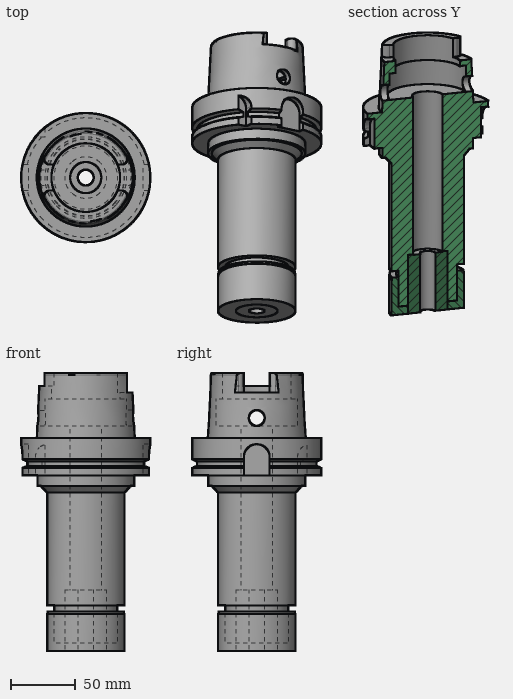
import cadquery as cq
import math

TOTAL_LENGTH = 215.0

SHANK_LENGTH = 50.0
SHANK_BASE_DIAMETER = 76.0
SHANK_TOP_DIAMETER = 71.0
SHANK_RIM_FILLET = 1.5
BOTTOM_Z = SHANK_LENGTH - TOTAL_LENGTH

DRIVE_SLOT_WIDTH = 20.0
DRIVE_SLOT_CORNER_RADIUS = 4.3
DRIVE_SLOT_CORNER_X = 32.0
LEFT_SLOT_DEPTH = 9.9
RIGHT_SLOT_DEPTH = 15.0

BORE_DIAMETER = 53.0
BORE_DEPTH = 20.0
UNDERCUT_DIAMETER = 63.0
CAVITY_DEPTH = 40.8
CROSS_HOLE_DIAMETER = 12.0
CROSS_HOLE_Z = 15.3

FLANGE_DIAMETER = 100.0
FLANGE_THICKNESS = 29.0
GROOVE_DEPTH = 3.7
GROOVE_CENTRE_Z = -20.0
GROOVE_ROOT_WIDTH = 3.5
GROOVE_MOUTH_WIDTH = 6.9

KEYWAY_WIDTH = 20.0
KEYWAY_TOP_Z = -5.0
KEYWAY_FLOOR_X = 44.0
NOTCH_FLOOR_X = 31.5
NOTCH_CENTRE_Y = 41.5

COLLAR_DIAMETER = 75.0
COLLAR_LENGTH = 8.2
CONE_TOP_DIAMETER = 69.7
CONE_LENGTH = 5.2
BARREL_DIAMETER = 60.0
BARREL_END_Z = -129.5
NECK_DIAMETER = 49.0

NUT_LENGTH = 30.7
NUT_RIM_HEIGHT = 2.0
NUT_RIM_INSET = 0.5
NUT_END_WALL = 6.5
NUT_RIM_DIAMETER = BARREL_DIAMETER - 2 * NUT_RIM_INSET
NECK_END_Z = BOTTOM_Z + NUT_END_WALL

PASSAGE_DIAMETER = 24.0
COLLET_DIAMETER = 32.2
COLLET_LENGTH = 47.3
COLLET_BORE_DIAMETER = 12.0
COLLET_TOP_Z = BOTTOM_Z + COLLET_LENGTH


def cylinder(diameter, bottom_z, top_z):
    """Upright cylinder on the Z axis."""
    return cq.Workplane("XY").workplane(offset=bottom_z).circle(diameter / 2).extrude(top_z - bottom_z)


def holder_blank():
    """Solid of revolution: shank, grooved flange, collar, barrel and neck."""
    flange_radius = FLANGE_DIAMETER / 2
    root_radius = flange_radius - GROOVE_DEPTH
    collar_end_z = -FLANGE_THICKNESS - COLLAR_LENGTH
    outline = [
        (0, SHANK_LENGTH),
        (SHANK_TOP_DIAMETER / 2, SHANK_LENGTH),
        (SHANK_BASE_DIAMETER / 2, 0),
        (flange_radius, 0),
        (flange_radius, GROOVE_CENTRE_Z + GROOVE_MOUTH_WIDTH / 2),
        (root_radius, GROOVE_CENTRE_Z + GROOVE_ROOT_WIDTH / 2),
        (root_radius, GROOVE_CENTRE_Z - GROOVE_ROOT_WIDTH / 2),
        (flange_radius, GROOVE_CENTRE_Z - GROOVE_MOUTH_WIDTH / 2),
        (flange_radius, -FLANGE_THICKNESS),
        (COLLAR_DIAMETER / 2, -FLANGE_THICKNESS),
        (COLLAR_DIAMETER / 2, collar_end_z),
        (CONE_TOP_DIAMETER / 2, collar_end_z),
        (BARREL_DIAMETER / 2, collar_end_z - CONE_LENGTH),
        (BARREL_DIAMETER / 2, BARREL_END_Z),
        (NECK_DIAMETER / 2, BARREL_END_Z),
        (NECK_DIAMETER / 2, NECK_END_Z),
        (0, NECK_END_Z),
    ]
    blank = cq.Workplane("XZ").polyline(outline).close().revolve(360, (0, 0, 0), (0, 1, 0))
    return blank.faces(">Z").edges().fillet(SHANK_RIM_FILLET)


def shank_cavity():
    """Stepped hollow of the shank, the passage to the collet and the collet seat."""
    bore = cylinder(BORE_DIAMETER, SHANK_LENGTH - BORE_DEPTH, SHANK_LENGTH)
    undercut = cylinder(UNDERCUT_DIAMETER, SHANK_LENGTH - CAVITY_DEPTH, SHANK_LENGTH - BORE_DEPTH)
    passage = cylinder(PASSAGE_DIAMETER, COLLET_TOP_Z, SHANK_LENGTH - CAVITY_DEPTH)
    seat = cylinder(COLLET_DIAMETER, NECK_END_Z, COLLET_TOP_Z)
    return bore.union(undercut).union(passage).union(seat)


def drive_slot(side, depth):
    """Slot through one side (+1 or -1 in X) of the shank rim, with rounded outer corners."""
    half_width = DRIVE_SLOT_WIDTH / 2
    radius = DRIVE_SLOT_CORNER_RADIUS
    round_start_x = DRIVE_SLOT_CORNER_X - radius
    outer_x = SHANK_BASE_DIAMETER / 2
    arc_rise = radius * (1 - math.sqrt(0.5))
    half_slot = (
        cq.Workplane("XY")
        .workplane(offset=SHANK_LENGTH - depth)
        .lineTo(0, half_width)
        .lineTo(side * round_start_x, half_width)
        .threePointArc(
            (side * (DRIVE_SLOT_CORNER_X - arc_rise), half_width + arc_rise),
            (side * DRIVE_SLOT_CORNER_X, half_width + radius),
        )
        .lineTo(side * DRIVE_SLOT_CORNER_X, outer_x)
        .lineTo(side * outer_x, outer_x)
        .lineTo(side * outer_x, 0)
        .close()
        .extrude(depth)
    )
    return half_slot.union(half_slot.mirror("XZ"))


def cross_hole():
    """Hole through both walls of the shank along X."""
    return (
        cq.Workplane("YZ")
        .center(0, CROSS_HOLE_Z)
        .circle(CROSS_HOLE_DIAMETER / 2)
        .extrude(SHANK_BASE_DIAMETER / 2, both=True)
    )


def keyway(side, floor_x, centre_y):
    """Keyway with a round upper end, open at the bottom and at one side of the flange."""
    radius = KEYWAY_WIDTH / 2
    round_z = KEYWAY_TOP_Z - radius
    return (
        cq.Workplane("YZ")
        .workplane(offset=side * floor_x)
        .moveTo(centre_y - radius, -FLANGE_THICKNESS)
        .lineTo(centre_y - radius, round_z)
        .threePointArc((centre_y, KEYWAY_TOP_Z), (centre_y + radius, round_z))
        .lineTo(centre_y + radius, -FLANGE_THICKNESS)
        .close()
        .extrude(side * (FLANGE_DIAMETER / 2 - floor_x))
    )


def make_holder():
    holder = holder_blank().cut(shank_cavity()).cut(cross_hole())
    holder = holder.cut(drive_slot(-1, LEFT_SLOT_DEPTH)).cut(drive_slot(1, RIGHT_SLOT_DEPTH))
    for side in (-1, 1):
        holder = holder.cut(keyway(side, KEYWAY_FLOOR_X, 0))
    return holder.cut(keyway(-1, NOTCH_FLOOR_X, NOTCH_CENTRE_Y))


def make_nut():
    """Cap around the neck, with a slightly smaller rim on top and an end wall around the collet."""
    top_z = BOTTOM_Z + NUT_LENGTH
    shoulder_z = top_z - NUT_RIM_HEIGHT
    body = cylinder(BARREL_DIAMETER, BOTTOM_Z, shoulder_z)
    rim = cylinder(NUT_RIM_DIAMETER, shoulder_z, top_z)
    neck_hole = cylinder(NECK_DIAMETER, NECK_END_Z, top_z)
    collet_hole = cylinder(COLLET_DIAMETER, BOTTOM_Z, NECK_END_Z)
    return body.union(rim).cut(neck_hole).cut(collet_hole)


def make_collet():
    """Plain sleeve, flush with the lower face of the nut."""
    sleeve = cylinder(COLLET_DIAMETER, BOTTOM_Z, COLLET_TOP_Z)
    return sleeve.cut(cylinder(COLLET_BORE_DIAMETER, BOTTOM_Z, COLLET_TOP_Z))


holder = make_holder()
nut = make_nut()
collet = make_collet()

result = cq.Compound.makeCompound([holder.val(), nut.val(), collet.val()])